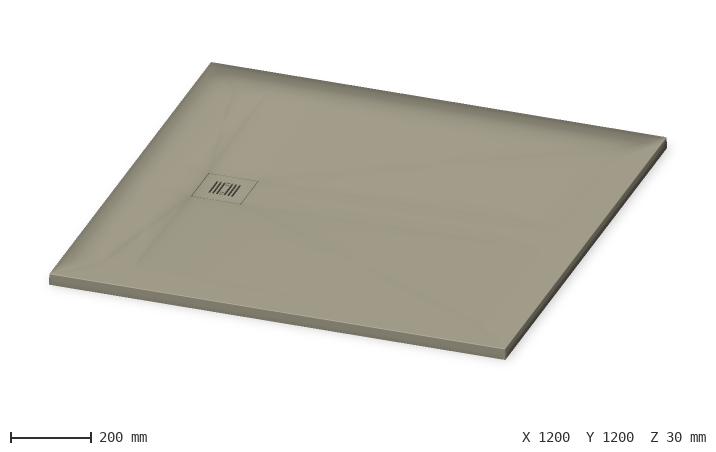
import cadquery as cq

TRAY_SIDE = 1200.0
TRAY_HEIGHT = 30.0
CORNER_RADIUS = 3.0
RIM_RADIUS = 2.0
SIDE_DRAFT = 2.0

BORDER_WIDTH = 100.0
FLOOR_HALF = TRAY_SIDE / 2 - BORDER_WIDTH
RIM_INSET = 3.0
RIM_HALF = TRAY_SIDE / 2 - RIM_INSET
BORDER_DROP = 2.0
DRAIN_DROP = 15.0
FLOOR_Z = TRAY_HEIGHT - BORDER_DROP
DRAIN_Z = TRAY_HEIGHT - DRAIN_DROP

DRAIN_X = -350.0
DRAIN_SIDE = 131.0
GAP_WIDTH = 1.5
GAP_DEPTH = 2.0
COVER_SIDE = DRAIN_SIDE - 2 * GAP_WIDTH
COVER_CORNER_RADIUS = 5.0

SLOT_WIDTH = 5.0
SLOT_PITCH = 2 * SLOT_WIDTH
SLOTS_PER_SIDE = 3
SLOT_LENGTH = 2 * SLOTS_PER_SIDE * SLOT_PITCH + SLOT_WIDTH
CROSS_SLOT_LENGTH = SLOT_PITCH
FIRST_CROSS_SLOT = 2


def make_block():
    """Square slab with drafted sides, rounded corners and a rounded top edge."""
    block = cq.Workplane("XY").rect(TRAY_SIDE, TRAY_SIDE).extrude(TRAY_HEIGHT, taper=SIDE_DRAFT)
    block = block.edges("not #Z").fillet(CORNER_RADIUS)
    return block.faces(">Z").edges().fillet(RIM_RADIUS)


def square_corners(half_side, z):
    """Corners of a square about the tray axis, counter-clockwise from (-X, -Y)."""
    signs = ((-1, -1), (1, -1), (1, 1), (-1, 1))
    return [cq.Vector(sx * half_side, sy * half_side, z) for sx, sy in signs]


def patch(a, b, c, d):
    """Four-cornered face, straight between edge a-b and edge d-c; it may be twisted."""
    return cq.Face.makeRuledSurface(cq.Edge.makeLine(a, b), cq.Edge.makeLine(d, c))


def make_border_faces(rim, floor):
    """Four mitred faces falling from the rim to the basin floor."""
    faces = []
    for i in range(4):
        j = (i + 1) % 4
        faces.append(patch(rim[i], rim[j], floor[j], floor[i]))
    return faces


def make_floor_faces():
    """Three by three floor faces: the level drain, four sloped strips, four twisted corners."""
    half = DRAIN_SIDE / 2
    xs = (-FLOOR_HALF, DRAIN_X - half, DRAIN_X + half, FLOOR_HALF)
    ys = (-FLOOR_HALF, -half, half, FLOOR_HALF)

    def point(i, j):
        at_drain = i in (1, 2) and j in (1, 2)
        return cq.Vector(xs[i], ys[j], DRAIN_Z if at_drain else FLOOR_Z)

    faces = []
    for i in range(3):
        for j in range(3):
            faces.append(patch(point(i, j), point(i + 1, j), point(i + 1, j + 1), point(i, j + 1)))
    return faces


def make_basin():
    """Volume removed from the block, closed by a flat lid level with the rim."""
    rim = square_corners(RIM_HALF, TRAY_HEIGHT)
    floor = square_corners(FLOOR_HALF, FLOOR_Z)
    faces = [patch(*rim)] + make_border_faces(rim, floor) + make_floor_faces()
    return cq.Workplane(cq.Solid.makeSolid(cq.Shell.makeShell(faces)).fix())


def make_cover_gap():
    """Shallow groove between the drain edge and the round-cornered cover."""
    floor = cq.Workplane("XY", origin=(DRAIN_X, 0, DRAIN_Z - GAP_DEPTH))
    outside = floor.rect(DRAIN_SIDE, DRAIN_SIDE).extrude(GAP_DEPTH)
    cover = floor.rect(COVER_SIDE, COVER_SIDE).extrude(GAP_DEPTH).edges("|Z").fillet(COVER_CORNER_RADIUS)
    return outside.cut(cover)


def make_slots():
    """Long slots on both sides of the cover's centre bar and short cross slots in the bar."""
    offsets = [i * SLOT_PITCH for i in range(1, SLOTS_PER_SIDE + 1)]
    long_places = [(side * x, 0) for x in offsets for side in (-1, 1)]
    cross_places = [(0, side * y) for y in offsets[FIRST_CROSS_SLOT - 1:] for side in (-1, 1)]
    base = cq.Workplane("XY", origin=(DRAIN_X, 0, 0))
    long_slots = base.pushPoints(long_places).rect(SLOT_WIDTH, SLOT_LENGTH).extrude(TRAY_HEIGHT)
    cross_slots = base.pushPoints(cross_places).rect(CROSS_SLOT_LENGTH, SLOT_WIDTH).extrude(TRAY_HEIGHT)
    return long_slots.add(cross_slots)


result = make_block().cut(make_basin()).cut(make_cover_gap())
for slot in make_slots().vals():
    result = result.cut(cq.Workplane(slot))